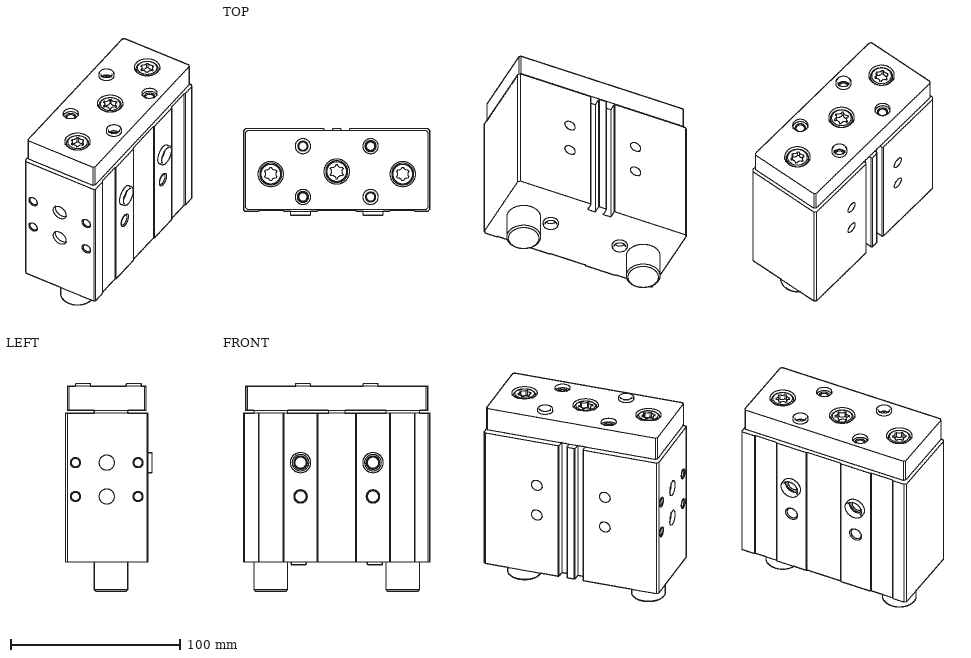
import cadquery as cq
import math

housing_width = 110.0
housing_depth = 49.0
housing_height = 88.0
corner_chamfer = 1.2
front_left_chamfer = 0.6
side_x = -housing_width / 2
front_y = -housing_depth / 2
rear_y = housing_depth / 2

relief_depth = 0.5
relief_flank_width = 0.4
center_relief_half_width = 11.6
side_relief_inner_x = 31.3
side_relief_outer_x = 46.3
relief_bands = [
    (-side_relief_outer_x, -side_relief_inner_x),
    (-center_relief_half_width, center_relief_half_width),
    (side_relief_inner_x, side_relief_outer_x),
]

slot_depth = 5.0
slot_inner_x = 2.6
slot_outer_x = 7.5
slot_lip_chamfer = 0.5

plate_width = 107.6
plate_depth = 46.6
plate_height = 14.3
plate_chamfer = 1.0
plate_gap = 1.7
plate_bottom = housing_height + plate_gap
plate_top = plate_bottom + plate_height

guide_diameter = 20.0
guide_x = 39.0
guide_y = -2.5
guide_protrusion = 17.2
guide_tip_chamfer = 1.0
piston_diameter = 10.0
piston_y = -1.0
piston_depth = 60.0

screw_recess_diameter = 15.0
screw_recess_depth = 8.0
screw_head_diameter = 13.0
screw_head_sink = 0.5
screw_head_chamfer = 0.7
socket_depth = 3.2
guide_socket_diameter = 7.8
piston_socket_diameter = 8.57
socket_valley_radius = 3.05
socket_scallop_radius = 2.4
socket_lobes = 6

m6_core = 4.92
m6_mouth = 6.0
m8_core = 6.65
m8_mouth = 8.0
side_hole_depth = 10.0
drill_tip_angle = 118.0

plate_hole_x = 20.0
plate_hole_y = 15.0
front_hole_x = 21.4
upper_hole_z = 58.8
hole_spacing_z = 20.0
side_hole_y = 18.5
bottom_sleeve_x = 22.5

small_sleeve_diameter = 9.0
small_sleeve_bore = 6.6
small_sleeve_protrusion = 1.6
small_recess_depth = 2.4
large_sleeve_diameter = 12.0
large_sleeve_bore = 9.8
large_sleeve_protrusion = 2.35
large_recess_depth = 1.65

upper_and_lower_z = [upper_hole_z, upper_hole_z - hole_spacing_z]
both_sides = [-1, 1]


def cylinder(start, direction, diameter, length):
    """Round solid from a start point along a direction."""
    return cq.Workplane(
        cq.Solid.makeCylinder(diameter / 2, length, cq.Vector(*start), cq.Vector(*direction))
    )


def chamfered_mouth(start, direction, core, mouth):
    """45 degree cone that opens a hole of the core size to the mouth size at the surface."""
    depth = (mouth - core) / 2
    return cq.Workplane(
        cq.Solid.makeCone(mouth / 2, core / 2, depth, cq.Vector(*start), cq.Vector(*direction))
    )


def sleeve(base, direction, diameter, bore, length):
    """Centring sleeve with a fully rounded rim at the protruding end."""
    outer = diameter / 2
    inner = bore / 2
    rim_radius = (outer - inner) / 2
    ring = (
        cq.Workplane("XZ")
        .moveTo(inner, 0)
        .lineTo(outer, 0)
        .lineTo(outer, length - rim_radius)
        .threePointArc((inner + rim_radius, length), (inner, length - rim_radius))
        .close()
        .revolve(360, (0, 0, 0), (0, 1, 0))
    )
    plane = cq.Plane(origin=base, normal=direction)
    return cq.Workplane(ring.val().moved(cq.Location(plane)))


def make_housing():
    body = (
        cq.Workplane("XY")
        .box(housing_width, housing_depth, housing_height, centered=(True, True, False))
        .edges("|Z and (>X or >Y)")
        .chamfer(corner_chamfer)
        .edges("|Z and <X and <Y")
        .chamfer(front_left_chamfer)
    )
    body = cut_front_relief(body)
    body = cut_sensor_slots(body)
    body = cut_rod_bores(body)
    body = cut_front_holes(body)
    body = cut_side_holes(body)
    return cut_bottom_recesses(body)


def cut_front_relief(body):
    for left, right in relief_bands:
        band = (
            cq.Workplane("XY")
            .moveTo(left, front_y)
            .lineTo(left + relief_flank_width, front_y + relief_depth)
            .lineTo(right - relief_flank_width, front_y + relief_depth)
            .lineTo(right, front_y)
            .close()
            .extrude(housing_height)
        )
        body = body.cut(band)
    return body


def cut_sensor_slots(body):
    slot_bottom_y = rear_y - slot_depth
    lip_y = rear_y - slot_lip_chamfer
    for side in both_sides:
        slot = (
            cq.Workplane("XY")
            .moveTo(side * slot_inner_x, slot_bottom_y)
            .lineTo(side * slot_inner_x, lip_y)
            .lineTo(side * (slot_inner_x - slot_lip_chamfer), rear_y)
            .lineTo(side * (slot_outer_x + slot_lip_chamfer), rear_y)
            .lineTo(side * slot_outer_x, lip_y)
            .lineTo(side * slot_outer_x, slot_bottom_y)
            .close()
            .extrude(housing_height)
        )
        body = body.cut(slot)
    return body


def cut_rod_bores(body):
    for side in both_sides:
        body = body.cut(cylinder((side * guide_x, guide_y, 0), (0, 0, 1), guide_diameter, housing_height))
    piston_start = (0, piston_y, housing_height)
    return body.cut(cylinder(piston_start, (0, 0, -1), piston_diameter, piston_depth))


def cut_front_holes(body):
    into = (0, 1, 0)
    for side in both_sides:
        x = side * front_hole_x
        for z in upper_and_lower_z:
            body = body.cut(cylinder((x, front_y, z), into, m8_core, housing_depth))
        recess_floor = front_y + large_recess_depth
        upper_z, lower_z = upper_and_lower_z
        body = body.cut(cylinder((x, front_y, upper_z), into, large_sleeve_diameter, large_recess_depth))
        body = body.cut(chamfered_mouth((x, recess_floor, upper_z), into, m8_core, m8_mouth))
        body = body.cut(chamfered_mouth((x, front_y, lower_z), into, m8_core, m8_mouth))
    return body


def cut_side_holes(body):
    into = (1, 0, 0)
    tip_length = m6_core / 2 / math.tan(math.radians(drill_tip_angle / 2))
    for z in upper_and_lower_z:
        body = body.cut(cylinder((side_x, 0, z), into, small_sleeve_diameter, small_recess_depth))
        for side in both_sides:
            y = side * side_hole_y
            start = (side_x, y, z)
            bottom = cq.Vector(side_x + side_hole_depth, y, z)
            tip = cq.Solid.makeCone(m6_core / 2, 0, tip_length, bottom, cq.Vector(*into))
            body = body.cut(cylinder(start, into, m6_core, side_hole_depth))
            body = body.cut(cq.Workplane(tip))
            body = body.cut(chamfered_mouth(start, into, m6_core, m6_mouth))
    return body


def cut_bottom_recesses(body):
    for side in both_sides:
        start = (side * bottom_sleeve_x, 0, 0)
        body = body.cut(cylinder(start, (0, 0, 1), small_sleeve_diameter, small_recess_depth))
    return body


def make_moving_unit():
    unit = (
        cq.Workplane("XY")
        .box(plate_width, plate_depth, plate_height, centered=(True, True, False))
        .edges("|Z")
        .chamfer(plate_chamfer)
        .translate((0, 0, plate_bottom))
    )
    unit = cut_plate_holes(unit)
    for side in both_sides:
        unit = unit.union(guide_rod(side * guide_x))
        unit = add_screw(unit, side * guide_x, guide_y, guide_socket_diameter)
    piston_end = (0, piston_y, housing_height - piston_depth)
    unit = unit.union(cylinder(piston_end, (0, 0, 1), piston_diameter, piston_depth + plate_gap))
    return add_screw(unit, 0, piston_y, piston_socket_diameter)


def cut_plate_holes(plate):
    into = (0, 0, -1)
    for x_side in both_sides:
        for y_side in both_sides:
            x = x_side * plate_hole_x
            y = piston_y + y_side * plate_hole_y
            recess_floor = (x, y, plate_top - small_recess_depth)
            plate = plate.cut(cylinder((x, y, plate_top), into, small_sleeve_diameter, small_recess_depth))
            plate = plate.cut(cylinder((x, y, plate_top), into, m6_core, plate_height))
            plate = plate.cut(chamfered_mouth(recess_floor, into, m6_core, m6_mouth))
    return plate


def guide_rod(x):
    length = guide_protrusion + plate_bottom
    rod = cylinder((x, guide_y, -guide_protrusion), (0, 0, 1), guide_diameter, length)
    return rod.faces("<Z").chamfer(guide_tip_chamfer)


def add_screw(plate, x, y, socket_diameter):
    """Sink a round recess into the plate and fill it with a screw head that has a star socket."""
    recess = cylinder((x, y, plate_top), (0, 0, -1), screw_recess_diameter, screw_recess_depth)
    recess_floor = plate_top - screw_recess_depth
    head_height = screw_recess_depth - screw_head_sink
    head = cylinder((x, y, recess_floor), (0, 0, 1), screw_head_diameter, head_height)
    head = head.faces(">Z").chamfer(screw_head_chamfer)
    socket_bottom = recess_floor + head_height - socket_depth
    socket = star_socket(socket_diameter).translate((x, y, socket_bottom))
    return plate.cut(recess).union(head.cut(socket))


def star_socket(diameter):
    """Disc with scalloped flanks between six lobes, one of them pointing along +Y."""
    disc = cq.Workplane("XY").circle(diameter / 2).extrude(socket_depth)
    scallops = (
        cq.Workplane("XY")
        .polarArray(socket_valley_radius + socket_scallop_radius, 0, 360, socket_lobes)
        .circle(socket_scallop_radius)
        .extrude(socket_depth, combine=False)
    )
    return disc.cut(scallops)


def make_plate_sleeves():
    """Two sleeves on opposite corners of the plate hole pattern."""
    length = small_recess_depth + small_sleeve_protrusion
    base_z = plate_top - small_recess_depth
    return [
        sleeve(
            (side * plate_hole_x, piston_y + side * plate_hole_y, base_z),
            (0, 0, 1), small_sleeve_diameter, small_sleeve_bore, length,
        )
        for side in both_sides
    ]


def make_bottom_sleeves():
    length = small_recess_depth + small_sleeve_protrusion
    return [
        sleeve(
            (side * bottom_sleeve_x, 0, small_recess_depth),
            (0, 0, -1), small_sleeve_diameter, small_sleeve_bore, length,
        )
        for side in both_sides
    ]


def make_front_sleeves():
    length = large_recess_depth + large_sleeve_protrusion
    return [
        sleeve(
            (side * front_hole_x, front_y + large_recess_depth, upper_hole_z),
            (0, -1, 0), large_sleeve_diameter, large_sleeve_bore, length,
        )
        for side in both_sides
    ]


housing = make_housing()
moving_unit = make_moving_unit()
sleeves = make_plate_sleeves() + make_bottom_sleeves() + make_front_sleeves()

result = cq.Compound.makeCompound(
    [housing.val(), moving_unit.val(), *[ring.val() for ring in sleeves]]
)